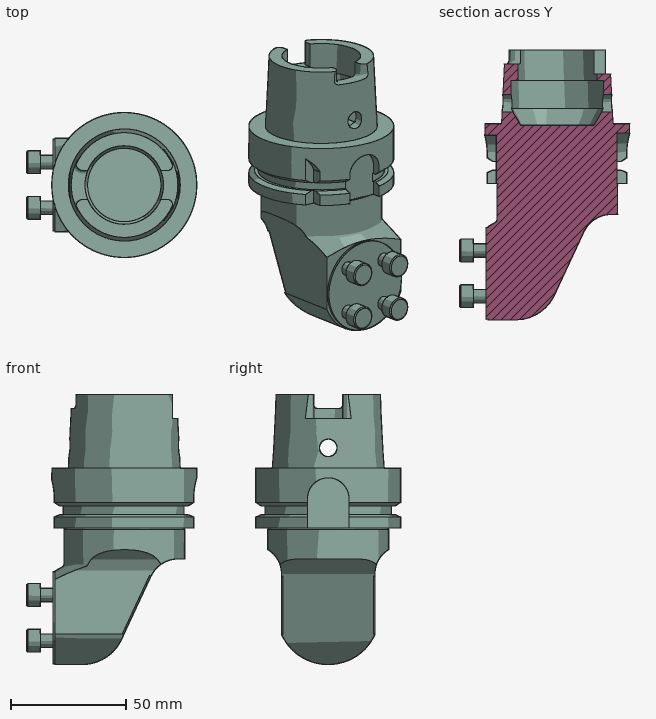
import cadquery as cq
import math

taper_length = 32.0
taper_base_radius = 24.3
taper_top_radius = taper_base_radius - taper_length / 20
bore_radius = 34.05 / 2
lip_bottom_z = 18.7
undercut_radius = 20.0
undercut_bottom_z = 6.5
floor_cone_angle = 30
bore_floor_radius = 15.9
cross_hole_diameter = 7.5
cross_hole_z = 8.8

notch_half_width = 6.2
notch_reach = 21.0
left_notch_depth = 6.1
left_prong_radius = 3.4
left_notch_fillet = 1.5
right_notch_depth = 10.4
right_prong_radius = 2.5

flange_radius = 62.94 / 2
flange_bottom_z = -26.0
groove_radius = 27.5
groove_top_z = -16.5
groove_bottom_z = -20.1
lip_upper_z = -14.8
lip_lower_z = -21.2
groove_mouth_radius = 29.0
left_key_slot_floor = 26.5
right_key_slot_floor = 26.0
key_slot_center_z = -13.2
left_key_slot_width = 16.2
right_key_slot_width = 18.0

notch_face_x = -20.0
notch_wall_y = 19.8
notch_wall_top_z = -10.7
notch_ceiling_middle = (22.1, -7.05)
notch_ceiling_top_z = -5.0

neck_radius = 52.5 / 2
neck_chamfer = 0.5
neck_bottom_z = -42.4
neck_fillet = 1.0
flare_angle = 30
mount_face_x = -30.0
body_half_width = 20.3
body_bottom_z = taper_length - 117.2
flat_top_z = -45.7
flat_bottom_z = -72.0
side_relief_radius = 12.0
back_relief_radius = 13.0
slope_angle = 25.0
slope_top = (11.6, -46.9)
toe_radius = 19.0
slope_edge_chamfer = 0.75
cut_size = 200.0

disc_radius = 20.0
disc_thickness = 1.0
disc_z = -64.9
screw_circle_diameter = 28.0
shank_diameter = 6.0
head_diameter = 10.0
head_length = 6.0
head_chamfer = 0.5
screw_end_x = flange_radius - 73.79


def make_shank():
    """Flange and hollow taper, revolved about Z."""
    floor_step = undercut_radius - bore_floor_radius
    bore_floor_z = undercut_bottom_z - floor_step / math.tan(math.radians(floor_cone_angle))
    outline = [
        (0, flange_bottom_z),
        (flange_radius, flange_bottom_z),
        (flange_radius, lip_lower_z),
        (groove_mouth_radius, groove_bottom_z),
        (groove_radius, groove_bottom_z),
        (groove_radius, groove_top_z),
        (groove_mouth_radius, groove_top_z),
        (flange_radius, lip_upper_z),
        (flange_radius, 0),
        (taper_base_radius, 0),
        (taper_top_radius, taper_length),
        (bore_radius, taper_length),
        (bore_radius, lip_bottom_z),
        (undercut_radius, lip_bottom_z),
        (undercut_radius, undercut_bottom_z),
        (bore_floor_radius, bore_floor_z),
        (0, bore_floor_z),
    ]
    return cq.Workplane("XZ").polyline(outline).close().revolve(360, (0, 0), (0, 1))


def make_drive_notch(side, depth, prong_radius, floor_fillet=0):
    """Cutter for a notch on the side (+1 or -1) of X, flaring around the rounded prongs."""
    arc_start = notch_reach - prong_radius
    arc_end = notch_half_width + prong_radius
    arc_offset = prong_radius * (1 - math.sqrt(0.5))
    arc_middle = (notch_reach - arc_offset, notch_half_width + arc_offset)
    outer_x = taper_base_radius + prong_radius
    outer_y = taper_base_radius
    cutter = (
        cq.Workplane("XY")
        .workplane(offset=taper_length - depth)
        .moveTo(0, notch_half_width)
        .lineTo(side * arc_start, notch_half_width)
        .threePointArc((side * arc_middle[0], arc_middle[1]), (side * notch_reach, arc_end))
        .lineTo(side * notch_reach, outer_y)
        .lineTo(side * outer_x, outer_y)
        .lineTo(side * outer_x, -outer_y)
        .lineTo(side * notch_reach, -outer_y)
        .lineTo(side * notch_reach, -arc_end)
        .threePointArc((side * arc_middle[0], -arc_middle[1]), (side * arc_start, -notch_half_width))
        .lineTo(0, -notch_half_width)
        .close()
        .extrude(depth)
    )
    if floor_fillet:
        cutter = cutter.faces("<Z").edges().fillet(floor_fillet)
    return cutter


def make_key_slot(side, width, floor):
    """Cutter for a round-topped key slot that opens at the bottom of the flange."""
    depth = flange_radius - floor
    height = key_slot_center_z - flange_bottom_z
    plane = cq.Workplane("YZ", origin=(side * floor, 0, key_slot_center_z))
    round_top = plane.circle(width / 2).extrude(side * depth)
    straight = plane.center(0, -height / 2).rect(width, height).extrude(side * depth)
    return round_top.union(straight)


def make_orientation_notch():
    """Cutter for a right-angled notch with a curved ceiling, open at the bottom of the flange."""
    rim_y = math.sqrt(flange_radius**2 - notch_face_x**2)
    return (
        cq.Workplane("YZ", origin=(notch_face_x, 0, 0))
        .moveTo(notch_wall_y, flange_bottom_z)
        .lineTo(notch_wall_y, notch_wall_top_z)
        .threePointArc(notch_ceiling_middle, (rim_y, notch_ceiling_top_z))
        .lineTo(rim_y, flange_bottom_z)
        .close()
        .extrude(-(flange_radius + notch_face_x))
    )


def make_neck_and_flare():
    """Round neck that flares into a cone wide enough to cover the body."""
    flare_radius = 2 * neck_radius
    flare_bottom_z = neck_bottom_z - (flare_radius - neck_radius) * math.tan(math.radians(flare_angle))
    outline = [
        (0, body_bottom_z),
        (flare_radius, body_bottom_z),
        (flare_radius, flare_bottom_z),
        (neck_radius, neck_bottom_z),
        (neck_radius, flange_bottom_z - neck_chamfer),
        (neck_radius - neck_chamfer, flange_bottom_z),
        (0, flange_bottom_z),
    ]
    body = cq.Workplane("XZ").polyline(outline).close().revolve(360, (0, 0), (0, 1))
    corner = cq.selectors.BoxSelector(
        (-cut_size, -cut_size, neck_bottom_z - neck_fillet),
        (cut_size, cut_size, neck_bottom_z + neck_fillet),
    )
    return body.edges(corner).fillet(neck_fillet)


def make_side_profile():
    """XZ outline of the body: sloped back face, concave relief above, rounded toe below."""
    slope = math.radians(slope_angle)
    relief_x = slope_top[0] + back_relief_radius * math.cos(slope)
    relief_z = slope_top[1] - back_relief_radius * math.sin(slope)
    middle_turn = math.radians(90 + (90 - slope_angle) / 2)
    relief_middle = (
        relief_x + back_relief_radius * math.cos(middle_turn),
        relief_z + back_relief_radius * math.sin(middle_turn),
    )
    relief_top_z = relief_z + back_relief_radius

    toe_center_z = body_bottom_z + toe_radius
    toe_end_z = toe_center_z - toe_radius * math.sin(slope)
    toe_end_x = slope_top[0] - (slope_top[1] - toe_end_z) * math.tan(slope)
    toe_center_x = toe_end_x - toe_radius * math.cos(slope)
    toe_turn = -math.radians((90 + slope_angle) / 2)
    toe_middle = (
        toe_center_x + toe_radius * math.cos(toe_turn),
        toe_center_z + toe_radius * math.sin(toe_turn),
    )
    return (
        cq.Workplane("XZ")
        .moveTo(mount_face_x, flange_bottom_z)
        .lineTo(mount_face_x, body_bottom_z)
        .lineTo(toe_center_x, body_bottom_z)
        .threePointArc(toe_middle, (toe_end_x, toe_end_z))
        .lineTo(*slope_top)
        .threePointArc(relief_middle, (relief_x, relief_top_z))
        .lineTo(cut_size, relief_top_z)
        .lineTo(cut_size, flange_bottom_z)
        .close()
        .extrude(cut_size / 2, both=True)
    )


def make_end_profile():
    """YZ outline of the body: parallel flats, concave reliefs above, round bottom."""
    relief_center_y = body_half_width + side_relief_radius
    relief_offset = side_relief_radius * math.sqrt(0.5)
    relief_middle = (relief_center_y - relief_offset, flat_top_z + relief_offset)
    relief_top_z = flat_top_z + side_relief_radius
    return (
        cq.Workplane("YZ")
        .moveTo(-relief_center_y, flange_bottom_z)
        .lineTo(-relief_center_y, relief_top_z)
        .threePointArc((-relief_middle[0], relief_middle[1]), (-body_half_width, flat_top_z))
        .lineTo(-body_half_width, flat_bottom_z)
        .threePointArc((0, body_bottom_z), (body_half_width, flat_bottom_z))
        .lineTo(body_half_width, flat_top_z)
        .threePointArc(relief_middle, (relief_center_y, relief_top_z))
        .lineTo(relief_center_y, flange_bottom_z)
        .close()
        .extrude(cut_size, both=True)
    )


def make_edge_cutter(side):
    """Diamond bar that breaks one long edge (side +1 or -1 of Y) of the back face."""
    slope = math.radians(slope_angle)
    along_slope = (-math.sin(slope), 0, -math.cos(slope))
    across_slope = (math.cos(slope), 0, -math.sin(slope))
    edge_top = (slope_top[0], side * body_half_width, slope_top[1])
    length = (slope_top[1] - flat_bottom_z) / math.cos(slope)
    size = slope_edge_chamfer
    return (
        cq.Workplane(cq.Plane(origin=edge_top, xDir=across_slope, normal=along_slope))
        .polyline([(size, 0), (0, size), (-size, 0), (0, -size)])
        .close()
        .extrude(length)
    )


def make_body():
    """Neck and angled body, with the long edges of the back face broken."""
    body = make_neck_and_flare().intersect(make_side_profile()).intersect(make_end_profile())
    for side in (1, -1):
        body = body.cut(make_edge_cutter(side))
    return body


def make_mount_disc():
    return (
        cq.Workplane("YZ", origin=(mount_face_x, 0, disc_z))
        .circle(disc_radius)
        .extrude(-disc_thickness)
    )


def make_screws():
    """Four cap screws standing out of the mounting disc."""
    pitch = screw_circle_diameter / math.sqrt(2)
    shanks = (
        cq.Workplane("YZ", origin=(mount_face_x, 0, disc_z))
        .rarray(pitch, pitch, 2, 2)
        .circle(shank_diameter / 2)
        .extrude(screw_end_x + head_length - mount_face_x)
    )
    heads = (
        cq.Workplane("YZ", origin=(screw_end_x, 0, disc_z))
        .rarray(pitch, pitch, 2, 2)
        .circle(head_diameter / 2)
        .extrude(head_length)
        .faces("<X")
        .chamfer(head_chamfer)
    )
    return shanks.union(heads)


shank = make_shank()
shank = shank.cut(make_drive_notch(-1, left_notch_depth, left_prong_radius, left_notch_fillet))
shank = shank.cut(make_drive_notch(1, right_notch_depth, right_prong_radius))
shank = shank.cut(make_key_slot(-1, left_key_slot_width, left_key_slot_floor))
shank = shank.cut(make_key_slot(1, right_key_slot_width, right_key_slot_floor))
shank = shank.cut(make_orientation_notch())
cross_hole = (
    cq.Workplane("YZ", origin=(0, 0, cross_hole_z))
    .circle(cross_hole_diameter / 2)
    .extrude(taper_base_radius, both=True)
)
shank = shank.cut(cross_hole)

result = shank.union(make_body()).union(make_mount_disc()).union(make_screws())